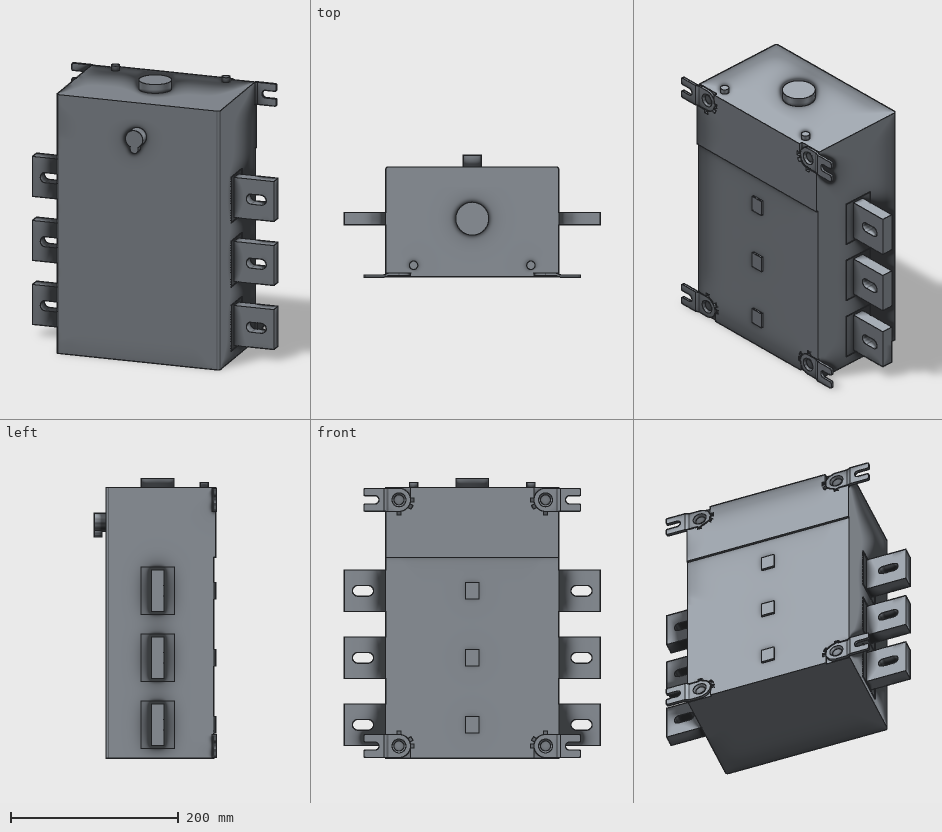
import cadquery as cq
import math


housing_width = 206.8
housing_height = 323.5
housing_back = 132.0
mechanism_front = 0.7
pole_front = 3.0
pole_compartment_height = 240.0
back_edge_radius = 3.0
half_width = housing_width / 2

pole_count = 3
pole_pitch = 80.0
first_pole_z = 40.1
pole_heights = [first_pole_z + pole * pole_pitch for pole in range(pole_count)]
center_depth = 70.1

overall_width = 306.0
terminal_height = 50.0
terminal_thickness = 15.0
terminal_slot_length = 25.0
terminal_slot_width = 12.5
terminal_slot_inset = 22.5
recess_height = 57.0
recess_width = 40.0
recess_depth = 1.0

label_width = 16.0
label_height = 20.0
label_front = 0.7

knob_diameter = 39.4
knob_height = 11.0
pin_diameter = 10.0
pin_height = 6.0
pin_spacing = 140.0
pin_depth = 14.5

shaft_diameter = 22.0
shaft_end = 145.9
shaft_z = 281.9
pointer_width = 10.0
pointer_reach = 17.6
pointer_length = 9.5

bolt_x = 87.5
bolt_inset = 14.8
bracket_width = 27.6
bracket_thickness = 3.0
bracket_offset = 2.0
bend_radius = 3.0
bracket_span = 259.0
foot_reach = bracket_span / 2 - bolt_x
jog_outer = 105.5 - bolt_x
jog_inner = 101.0 - bolt_x
foot_slot_width = 9.5
foot_slot_length = 18.0
foot_slot_radius = 4.5
foot_corner_radius = 2.0
sink_diameter = 16.5
hole_diameter = 12.0

pocket_floor = bracket_offset + bracket_thickness
notch_width = 5.0
notch_depth = 4.2
notch_reach = bracket_width / 2 + notch_depth
notch_angles = (0, -30, -90)


def box(x_range, y_range, z_range):
    """Axis-aligned box between the given limits."""
    size = [high - low for low, high in (x_range, y_range, z_range)]
    return cq.Workplane("XY").box(*size, centered=False).translate((x_range[0], y_range[0], z_range[0]))


def centered_box(width, y_range, height, z_center):
    """Box centred on X = 0 and on a height."""
    return box((-width / 2, width / 2), y_range, (z_center - height / 2, z_center + height / 2))


def make_housing():
    """Stepped box with the two upright edges on the shaft side rounded."""
    poles = box((-half_width, half_width), (pole_front, housing_back), (0, housing_height))
    poles = poles.edges("|Z and >Y").fillet(back_edge_radius)
    mechanism = box(
        (-half_width, half_width),
        (mechanism_front, center_depth),
        (pole_compartment_height, housing_height),
    )
    return poles.union(mechanism)


def add_terminals(body):
    """Slotted flat bars leaving shallow recesses in both sides of the housing."""
    slot_x = overall_width / 2 - terminal_slot_inset
    bar_depth = (center_depth - terminal_thickness / 2, center_depth + terminal_thickness / 2)
    recess_depths = (center_depth - recess_width / 2, center_depth + recess_width / 2)
    core_width = housing_width - 2 * recess_depth
    for z in pole_heights:
        recesses = centered_box(housing_width, recess_depths, recess_height, z)
        recesses = recesses.cut(centered_box(core_width, recess_depths, recess_height, z))
        slots = (
            cq.Workplane("XZ", origin=(0, bar_depth[1], z))
            .pushPoints([(-slot_x, 0), (slot_x, 0)])
            .slot2D(terminal_slot_length, terminal_slot_width)
            .extrude(terminal_thickness)
        )
        bar = centered_box(overall_width, bar_depth, terminal_height, z).cut(slots)
        body = body.cut(recesses).union(bar)
    return body


def add_labels(body):
    """One raised rectangular label in front of each pole."""
    for z in pole_heights:
        body = body.union(centered_box(label_width, (label_front, center_depth), label_height, z))
    return body


def add_top_knob_and_pins(body):
    """Large round knob and two small pins on the top face."""
    top = cq.Workplane("XY", origin=(0, 0, housing_height))
    knob = top.center(0, center_depth).circle(knob_diameter / 2).extrude(knob_height)
    pins = (
        top.pushPoints([(-pin_spacing / 2, pin_depth), (pin_spacing / 2, pin_depth)])
        .circle(pin_diameter / 2)
        .extrude(pin_height)
    )
    return body.union(knob).union(pins)


def add_shaft(body):
    """Round shaft with a round-tipped pointer hanging from its end."""
    plane = cq.Workplane("XZ", origin=(0, shaft_end, shaft_z))
    shaft = plane.circle(shaft_diameter / 2).extrude(shaft_end - housing_back)
    tip_center = pointer_reach - pointer_width / 2
    pointer = (
        plane.moveTo(-pointer_width / 2, 0)
        .lineTo(-pointer_width / 2, -tip_center)
        .threePointArc((0, -pointer_reach), (pointer_width / 2, -tip_center))
        .lineTo(pointer_width / 2, 0)
        .close()
        .extrude(pointer_length)
    )
    return body.union(shaft).union(pointer)


def make_pocket():
    """Pocket of the upper right bracket, with the bolt axis on X = Z = 0 and notches around its corner."""
    radius = bracket_width / 2
    side = half_width - bolt_x
    plane = cq.Workplane("XZ", origin=(0, pocket_floor, 0))
    diagonal = radius * math.sqrt(0.5)
    pocket = (
        plane.moveTo(side, -radius)
        .lineTo(0, -radius)
        .threePointArc((-diagonal, -diagonal), (-radius, 0))
        .lineTo(-radius, bolt_inset)
        .lineTo(side, bolt_inset)
        .close()
        .extrude(pocket_floor)
    )
    notch = plane.center(-notch_reach / 2, 0).rect(notch_reach, notch_width).extrude(pocket_floor)
    for angle in notch_angles:
        pocket = pocket.union(notch.rotate((0, 0, 0), (0, 1, 0), angle))
    return pocket


def at_point(x, y):
    """Selector for the upright edge that passes through the given X and Y."""
    return cq.selectors.NearestToPointSelector((x, y, 0))


def make_bracket():
    """Upper right bracket: jogged strip, round inner end, countersunk hole and open slot in the foot."""
    radius = bracket_width / 2
    profile = [
        (-radius, bracket_offset),
        (jog_inner, bracket_offset),
        (jog_outer, 0),
        (foot_reach, 0),
        (foot_reach, bracket_thickness),
        (jog_outer, bracket_thickness),
        (jog_inner, pocket_floor),
        (-radius, pocket_floor),
    ]
    strip = cq.Workplane("XY", origin=(0, 0, -radius)).polyline(profile).close().extrude(bracket_width)
    strip = strip.edges(at_point(jog_inner, bracket_offset)).fillet(bend_radius)
    strip = strip.edges(at_point(jog_inner, pocket_floor)).fillet(bend_radius + bracket_thickness)
    plane = cq.Workplane("XZ", origin=(0, pocket_floor, 0))
    outline = (
        plane.moveTo(0, -radius)
        .threePointArc((-radius, 0), (0, radius))
        .lineTo(foot_reach, radius)
        .lineTo(foot_reach, -radius)
        .close()
        .extrude(pocket_floor)
    )
    slot_start = foot_reach - foot_slot_length
    slot = box((slot_start, foot_reach), (0, pocket_floor), (-foot_slot_width / 2, foot_slot_width / 2))
    slot = slot.edges("|Y and <X").fillet(foot_slot_radius)
    countersink = (
        cq.Workplane("XZ", origin=(0, bracket_offset, 0))
        .circle(sink_diameter / 2)
        .workplane(offset=-bracket_thickness)
        .circle(hole_diameter / 2)
        .loft()
    )
    bracket = strip.intersect(outline).cut(slot)
    bracket = bracket.edges("|Y and >X").fillet(foot_corner_radius)
    return bracket.cut(countersink)


def at_four_corners(upper_right):
    """Place a shape on the upper right bolt axis and mirror it to the other three corners."""
    shape = upper_right.translate((bolt_x, 0, housing_height - bolt_inset))
    shape = shape.union(shape.mirror("YZ"))
    return shape.union(shape.mirror("XY", (0, 0, housing_height / 2)))


def add_brackets(body):
    """Sink a bracket into its pocket at each corner of the front."""
    return body.cut(at_four_corners(make_pocket())).union(at_four_corners(make_bracket()))


result = make_housing()
result = add_terminals(result)
result = add_labels(result)
result = add_top_knob_and_pins(result)
result = add_shaft(result)
result = add_brackets(result)